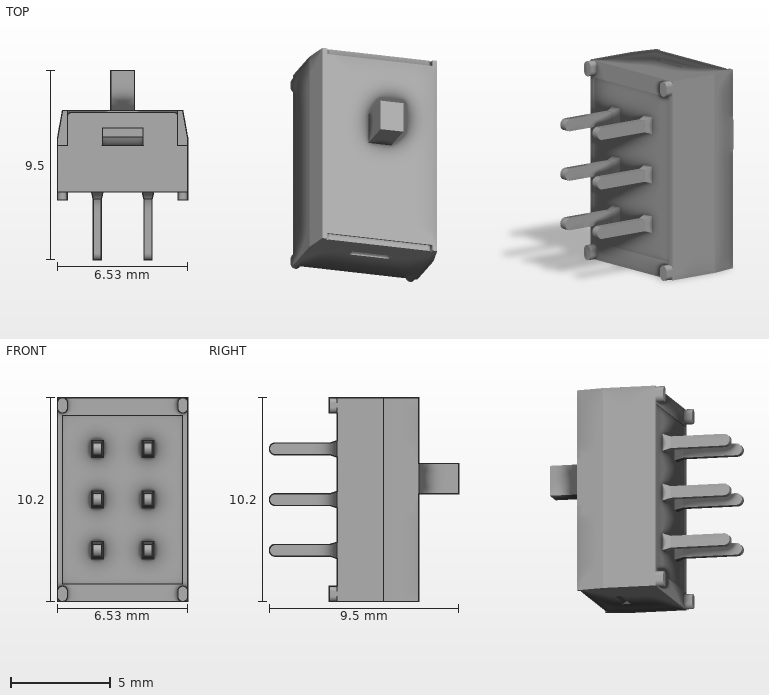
import cadquery as cq


body_width = 6.53
body_height = 10.21
body_depth = 4.09

case_depth = 2.33
opening_width = 6.0
opening_height = 8.45
foot_width = 0.5
foot_height = 0.77
foot_length = 0.41
tab_width = 5.52
tab_thickness = 0.3
tab_end_gap = 0.1
tab_corner_radius = 0.2
window_width = 2.04
window_depth = 0.87

taper_start = 2.7
taper_inset = 0.25
latch_flat_depth = 0.45

base_recess = 0.05
pin_pitch = 2.54
pin_columns = 2
pin_rows = 3
pin_width = 0.42
pin_height = 0.6
pin_length = 3.4
collar_width = 0.6
collar_height = 0.86
collar_end = 0.35

slider_width = 1.2
slider_height = 1.53
slider_center_z = 1.05
slider_reach = 2.01

ENDS = (-1, 1)


def block(width, height, y_start, y_end, center_z=0):
    """Box centred on X = 0 that runs from y_start to y_end."""
    depth = y_end - y_start
    return cq.Workplane("XY").box(width, depth, height).translate((0, y_start + depth / 2, center_z))


def place_at_end(shape, end):
    """Shape made for the +Z end, mirrored when it belongs at the -Z end."""
    return shape if end > 0 else shape.mirror("XY")


def make_tab():
    """Tab on the +Z end, with rounded free corners and a latch window."""
    tab_end = body_depth - tab_end_gap
    tab_bottom = body_height / 2 - tab_thickness
    tab = block(tab_width, tab_thickness, case_depth, tab_end, tab_bottom + tab_thickness / 2)
    tab = tab.edges("|Z and >Y").fillet(tab_corner_radius)
    window = block(window_width, body_height, case_depth, case_depth + window_depth)
    return tab.cut(window)


def make_foot():
    """Rounded foot at the centre of the XZ plane, standing out to -Y."""
    return cq.Workplane("XZ").slot2D(foot_height, foot_width, 90).extrude(foot_length)


def make_case():
    case = block(body_width, body_height, 0, case_depth)
    case = case.cut(block(opening_width, opening_height, 0, case_depth))
    foot_x = (body_width - foot_width) / 2
    foot_z = (body_height - foot_height) / 2
    for end in ENDS:
        case = case.union(place_at_end(make_tab(), end))
        for side in ENDS:
            case = case.union(make_foot().translate((side * foot_x, 0, end * foot_z)))
    return case


def make_latch():
    """Wedge that fills the tab window on the +Z end: flat at the back, sloping down toward -Y."""
    top = body_height / 2
    floor = top - tab_thickness
    window_end = case_depth + window_depth
    return (
        cq.Workplane("YZ")
        .moveTo(case_depth, floor)
        .lineTo(window_end, floor)
        .lineTo(window_end, top)
        .lineTo(window_end - latch_flat_depth, top)
        .close()
        .extrude(window_width / 2, both=True)
    )


def make_cover():
    half_width = body_width / 2
    cover = (
        cq.Workplane("XY")
        .moveTo(-half_width, case_depth)
        .lineTo(half_width, case_depth)
        .lineTo(half_width, taper_start)
        .lineTo(half_width - taper_inset, body_depth)
        .lineTo(-half_width + taper_inset, body_depth)
        .lineTo(-half_width, taper_start)
        .close()
        .extrude(body_height / 2, both=True)
    )
    recess_center_z = (body_height - tab_thickness) / 2
    for end in ENDS:
        recess = block(tab_width, tab_thickness, case_depth, body_depth, end * recess_center_z)
        cover = cover.cut(recess).union(place_at_end(make_latch(), end))
    slider_hole = block(slider_width, slider_height, case_depth, body_depth, slider_center_z)
    return cover.cut(slider_hole)


def make_pin():
    """Terminal on the Y axis: a tapered collar and a flat blade with a rounded tip."""
    collar = (
        cq.Workplane("XZ", origin=(0, base_recess, 0))
        .rect(collar_width, collar_height)
        .workplane(offset=base_recess + collar_end)
        .rect(pin_width, pin_height)
        .loft(ruled=True)
    )
    tip_radius = pin_height / 2
    tip_start = tip_radius - pin_length
    blade = (
        cq.Workplane("YZ")
        .moveTo(-collar_end, tip_radius)
        .lineTo(tip_start, tip_radius)
        .threePointArc((-pin_length, 0), (tip_start, -tip_radius))
        .lineTo(-collar_end, -tip_radius)
        .close()
        .extrude(pin_width / 2, both=True)
    )
    return collar.union(blade)


def make_base():
    base = block(opening_width, opening_height, base_recess, case_depth)
    for column in range(pin_columns):
        for row in range(pin_rows):
            pin_x = (column - (pin_columns - 1) / 2) * pin_pitch
            pin_z = (row - (pin_rows - 1) / 2) * pin_pitch
            base = base.union(make_pin().translate((pin_x, 0, pin_z)))
    return base


def make_slider():
    return block(slider_width, slider_height, case_depth, body_depth + slider_reach, slider_center_z)


case = make_case()
cover = make_cover()
base = make_base()
slider = make_slider()

result = cq.Compound.makeCompound([case.val(), cover.val(), base.val(), slider.val()])